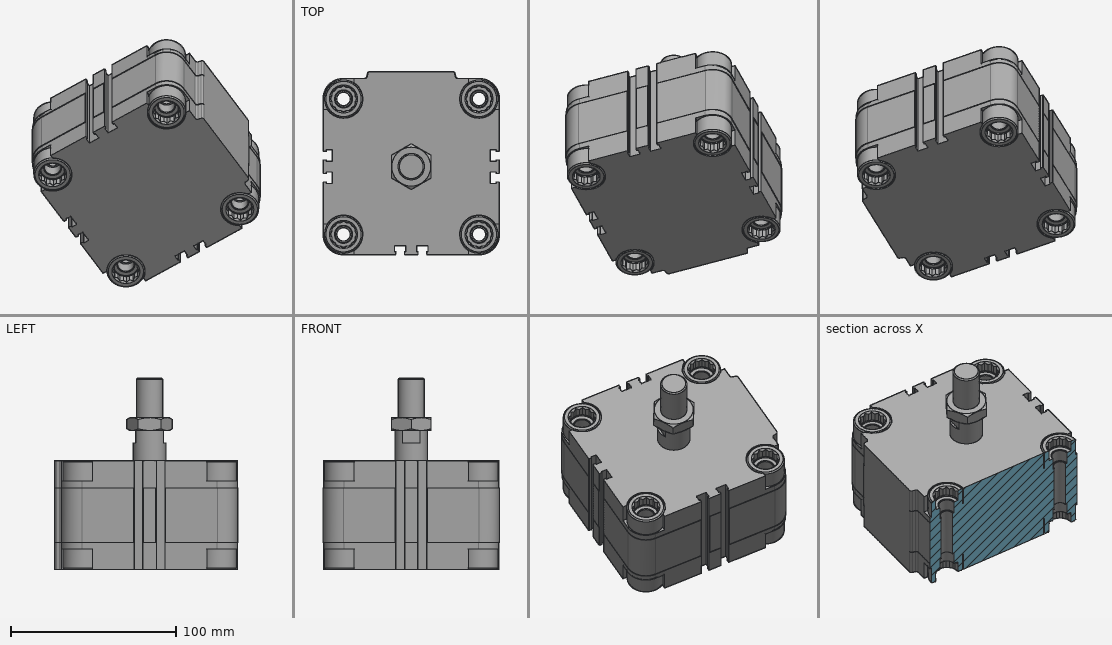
import cadquery as cq
import math

total_height = 116
body_height = 66.0
cap_height = 16.5
barrel_height = body_height - 2 * cap_height

barrel_half_x = 53.5
barrel_half_y = 53.5
cap_inset_x = 0.3
cap_inset_y = 0.1
corner_radius = 12.4
pad_y = 57.5
pad_top_half = 26.3
pad_base_half = 27.3
pad_round = 1.4

slot_offset = 6.7
slot_mouth = 5.1
slot_width = 6.7
slot_floor = 47.9
slot_lip_inner = 51.4
slot_mouth_chamfer = 0.5

screw_pitch = 82.0
head_diameter = 23.0
head_height = 12.4
head_chamfer = 0.8
pocket_diameter = 23.4
notch_half = 6.4
socket_points = 12
socket_rim_diameter = 16.9
socket_tip_diameter = 16.0
socket_valley_diameter = 14.4
socket_depth = 6.7
relief_diameter = 15.4
relief_depth = 7.9
thread_hole_diameter = 10.0
thread_countersink_diameter = 10.9
barrel_hole_diameter = 8.0

rod_diameter = 20.0
rod_thread_diameter = 16.0
rod_tip_chamfer = 0.8
flat_width = 17.0
flat_bottom = 76.8
nut_bottom = 84.1
nut_height = 8.0
nut_across_flats = 24.0
nut_chamfer_diameter = 23.5
nut_chamfer_angle = 30
hexagon_half_angle = 30

screw_points = [
    (sx * screw_pitch / 2, sy * screw_pitch / 2) for sx in (-1, 1) for sy in (-1, 1)
]


def cylinder(diameter, bottom, top, x=0, y=0):
    """Upright cylinder between two heights."""
    return cq.Workplane(origin=(x, y, bottom)).circle(diameter / 2).extrude(top - bottom)


def cone(bottom_diameter, top_diameter, bottom, top):
    """Upright cone frustum on the Z axis between two heights."""
    solid = cq.Solid.makeCone(
        bottom_diameter / 2, top_diameter / 2, top - bottom, pnt=cq.Vector(0, 0, bottom)
    )
    return cq.Workplane(solid)


def slot_cutter(face, height):
    """T-slot along Z, opening toward -Y at the distance `face` from the axis."""
    mouth = slot_mouth / 2
    flare = mouth + slot_mouth_chamfer
    inner = slot_width / 2
    flare_start = face - slot_mouth_chamfer
    right = [
        (flare, -face),
        (mouth, -flare_start),
        (mouth, -slot_lip_inner),
        (inner, -slot_lip_inner),
        (inner, -slot_floor),
    ]
    left = [(-x, y) for x, y in reversed(right)]
    return cq.Workplane().polyline(right + left).close().extrude(height)


def section(inset_x, inset_y, height):
    """Rounded block with the raised pad on +Y, standing on Z = 0, set in by the insets."""
    half_x = barrel_half_x - inset_x
    half_y = barrel_half_y - inset_y
    base_half = pad_base_half - inset_x
    top_half = pad_top_half - inset_x
    block = (
        cq.Workplane()
        .rect(2 * half_x, 2 * half_y)
        .extrude(height)
        .edges("|Z")
        .fillet(corner_radius)
    )
    pad = (
        cq.Workplane()
        .polyline(
            [
                (-base_half, 0),
                (-base_half, half_y),
                (-top_half, pad_y),
                (top_half, pad_y),
                (base_half, half_y),
                (base_half, 0),
            ]
        )
        .close()
        .extrude(height)
    )
    block = block.union(pad)
    pad_corners = cq.selectors.BoxSelector(
        (-base_half - pad_round, half_y - pad_round, 0),
        (base_half + pad_round, pad_y + pad_round, height),
    )
    return block.edges("|Z").edges(pad_corners).fillet(pad_round)


def slots_cutter():
    """All six T-slots, running the whole height of the housing."""
    cutters = cq.Workplane()
    for angle, face in ((-90, barrel_half_x), (0, barrel_half_y), (90, barrel_half_x)):
        for offset in (-slot_offset, slot_offset):
            cutter = slot_cutter(face, body_height).translate((offset, 0, 0))
            cutters = cutters.add(cutter.rotate((0, 0, 0), (0, 0, 1), angle))
    return cutters.combine()


def head_notch(x, y):
    """Space around one screw head: a round pocket, open at the corner of the cap."""
    floor = cap_height - head_height
    reach = 2 * corner_radius
    corner = (
        cq.Workplane()
        .box(reach, reach, head_height, centered=False)
        .translate((-notch_half, -notch_half, floor))
    )
    turn = math.degrees(math.atan2(y, x)) - 45
    corner = corner.rotate((0, 0, 0), (0, 0, 1), turn).translate((x, y, 0))
    return corner.union(cylinder(pocket_diameter, floor, cap_height, x, y))


def double_hexagon(tip_radius, valley_radius):
    """Twelve-pointed star outline, tip first."""
    points = []
    corners = 2 * socket_points
    for i in range(corners):
        radius = tip_radius if i % 2 == 0 else valley_radius
        angle = 2 * math.pi * i / corners
        points.append((radius * math.cos(angle), radius * math.sin(angle)))
    return points


def screw_head():
    """Hollow screw head on the Z axis, flush with the outer face of the cap."""
    bottom = cap_height - head_height
    rim_depth = (socket_rim_diameter - socket_valley_diameter) / 2
    countersink_depth = (thread_countersink_diameter - thread_hole_diameter) / 2
    relief_bottom = cap_height - relief_depth

    head = cylinder(head_diameter, bottom, cap_height).faces(">Z").chamfer(head_chamfer)
    star = (
        cq.Workplane(origin=(0, 0, cap_height - socket_depth))
        .polyline(double_hexagon(socket_tip_diameter / 2, socket_valley_diameter / 2))
        .close()
        .extrude(socket_depth)
    )
    rim = cone(socket_valley_diameter, socket_rim_diameter, cap_height - rim_depth, cap_height)
    relief = cylinder(relief_diameter, relief_bottom, cap_height - socket_depth)
    countersink = cone(
        thread_hole_diameter,
        thread_countersink_diameter,
        relief_bottom - countersink_depth,
        relief_bottom,
    )
    thread_hole = cylinder(thread_hole_diameter, bottom, relief_bottom)
    return head.cut(star).cut(rim).cut(relief).cut(countersink).cut(thread_hole)


def end_cap():
    """Cap with its outer face up, standing on Z = 0, with a screw head in each corner."""
    cap = section(cap_inset_x, cap_inset_y, cap_height)
    floor = cap_height - head_height
    head = screw_head()
    for x, y in screw_points:
        cap = cap.cut(head_notch(x, y))
        cap = cap.cut(cylinder(thread_hole_diameter, 0, floor, x, y))
        cap = cap.union(head.translate((x, y, 0)))
    return cap


def barrel_section():
    """Middle section between the caps, drilled through along the four screws."""
    barrel = section(0, 0, barrel_height)
    for x, y in screw_points:
        barrel = barrel.cut(cylinder(barrel_hole_diameter, 0, barrel_height, x, y))
    return barrel


def make_housing():
    """Barrel with both caps as one solid, with the T-slots and the bore for the rod."""
    upper_cap_bottom = body_height - cap_height
    housing = barrel_section().translate((0, 0, cap_height))
    housing = housing.union(end_cap().translate((0, 0, upper_cap_bottom)))
    housing = housing.union(end_cap().mirror("XY").translate((0, 0, cap_height)))
    housing = housing.cut(slots_cutter())
    return housing.cut(cylinder(rod_diameter, upper_cap_bottom, body_height))


def make_rod():
    """Piston rod in the upper cap, with two wrench flats and a threaded end."""
    shank = cylinder(rod_diameter, body_height - cap_height, nut_bottom)
    between_flats = (
        cq.Workplane(origin=(0, 0, flat_bottom))
        .rect(2 * rod_diameter, flat_width)
        .extrude(nut_bottom - flat_bottom)
    )
    flat_cutter = cylinder(2 * rod_diameter, flat_bottom, nut_bottom).cut(between_flats)
    thread = cylinder(rod_thread_diameter, nut_bottom, total_height)
    thread = thread.faces(">Z").chamfer(rod_tip_chamfer)
    return shank.cut(flat_cutter).union(thread)


def make_nut():
    """Thin hexagon nut on the rod thread, resting on the shoulder above the flats."""
    nut_top = nut_bottom + nut_height
    nut_middle = nut_bottom + nut_height / 2
    corner_diameter = nut_across_flats / math.cos(math.radians(hexagon_half_angle))
    hexagon = (
        cq.Workplane(origin=(0, 0, nut_bottom))
        .polygon(6, corner_diameter)
        .extrude(nut_height)
        .rotate((0, 0, 0), (0, 0, 1), hexagon_half_angle)
    )
    middle_diameter = nut_chamfer_diameter + nut_height / math.tan(math.radians(nut_chamfer_angle))
    lower_cone = cone(nut_chamfer_diameter, middle_diameter, nut_bottom, nut_middle)
    upper_cone = cone(middle_diameter, nut_chamfer_diameter, nut_middle, nut_top)
    nut = hexagon.intersect(lower_cone.union(upper_cone))
    return nut.cut(cylinder(rod_thread_diameter, nut_bottom, nut_top))


housing = make_housing()
rod = make_rod()
nut = make_nut()

result = cq.Compound.makeCompound([housing.val(), rod.val(), nut.val()])